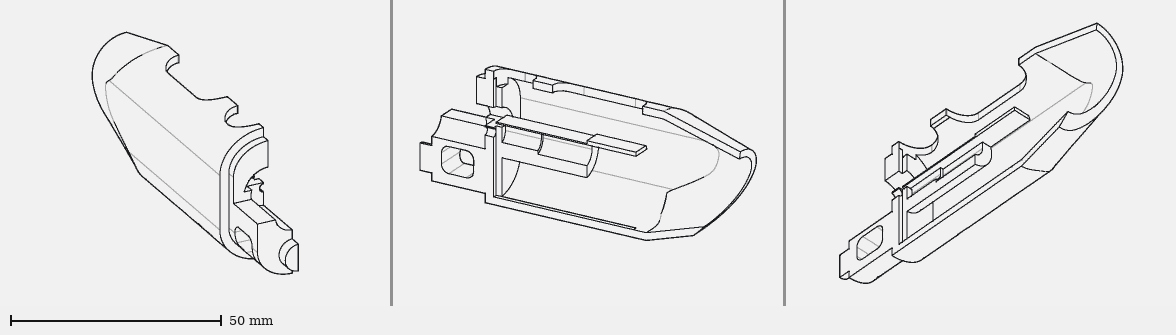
import cadquery as cq
import math

overall_length = 88.6
body_height = 34.45
body_depth = 11.7
body_edge = 10.0
body_end = 70.6
wall = 2.0

nose_end = 26.0
nose_front_bottom = 8.2
nose_front_top = 28.6
nose_front_depth = 10.1
nose_front_power = 2.0
nose_rear_top = 35.8
nose_rear_depth = 13.6
nose_rear_widest = 26.1
nose_rear_lower_power = 2.7
nose_rear_upper_power = 2.0
nose_steps = 16
mouth_middle = (3.7, 16.3)
mouth_lower = (13.0, 4.2)

opening_depth = 5.6
opening_corner = 5.3
opening_floor = 30.1
openings = ((27.0, 51.9), (57.4, 68.2))

end_wall_start = 66.6
flush_wall_start = 68.2
collar_inset = 2.4
collar_end = 73.0
tang_end = 85.4
tang_top = 17.5
groove_radius = 4.6
window_start = 73.8
window_end = 82.6
window_bottom = 5.3
window_top = 12.3
window_corner = 2.0
pin_radius = 3.5
pin_height = 8.0

axis_height = 18.5
hole_radius = 6.55
recess = 1.15
cradle_start = 29.6
cradle_step = 43.1
shelf_top = 21.6
shelf_bottom = 20.55
cradle_top = 20.9
bore_step = 56.7
cradle_wide_bore = 3.5
cradle_narrow_bore = 2.75
cable_bore = 1.1
sill_top = 19.9


def signed_power(value, exponent):
    """Power of the absolute value that keeps the sign."""
    return math.copysign(abs(value) ** exponent, value)


def nose_section(x, bottom, top, depth, widest, lower_power, upper_power):
    """Half superellipse on the -Y side of the split plane, deepest at the widest height."""
    points = []
    for step in range(1, nose_steps):
        angle = math.pi * (step / nose_steps - 0.5)
        above = angle > 0
        power = upper_power if above else lower_power
        half_height = top - widest if above else widest - bottom
        y = -depth * signed_power(math.cos(angle), 2 / power)
        z = widest + half_height * signed_power(math.sin(angle), 2 / power)
        points.append((y, z))
    outline = [(0, bottom)] + points + [(0, top)]
    parameters = [step / nose_steps for step in range(nose_steps + 1)]
    section = cq.Workplane("YZ", origin=(x, 0, 0))
    return section.spline(outline, parameters=parameters).close()


def nose_taper(inset=0.0):
    """Tapered hood of the nose, shrunk evenly by the inset."""
    front = nose_section(
        0,
        nose_front_bottom + inset,
        nose_front_top - inset,
        nose_front_depth - inset,
        axis_height,
        nose_front_power,
        nose_front_power,
    )
    rear = nose_section(
        nose_end,
        inset,
        nose_rear_top - inset,
        nose_rear_depth - inset,
        nose_rear_widest,
        nose_rear_lower_power,
        nose_rear_upper_power,
    )
    sections = [front.wires().val(), rear.wires().val()]
    return cq.Workplane(cq.Solid.makeLoft(sections, True))


def box(x_range, y_range, z_range):
    """Block between the given limits."""
    limits = (x_range, y_range, z_range)
    size = [high - low for low, high in limits]
    corner = [low for low, high in limits]
    return cq.Workplane().box(*size, centered=False).translate(tuple(corner))


def front_half(start, end, top):
    """Block that keeps only what lies in front of the split plane and below the given top."""
    return box((start, end), (-body_depth, 0), (0, top))


def body_prism(start, end, inset=0.0):
    """Body profile, flat between two elliptical edges, shrunk evenly by the inset."""
    depth = body_depth - inset
    edge_heights = (body_edge, body_height - body_edge)
    prism = box((start, end), (-depth, 0), edge_heights)
    for height in edge_heights:
        edge = cq.Workplane("YZ", origin=(start, 0, height)).ellipse(depth, body_edge - inset)
        prism = prism.union(edge.extrude(end - start))
    return prism.intersect(front_half(start, end, body_height))


def handle(end, inset=0.0):
    """Nose and body together, up to the given X."""
    trimming = front_half(0, nose_end, body_height).cut(nose_taper(inset))
    return body_prism(0, end, inset).cut(trimming)


def rod(start, end, radius, height=axis_height):
    """Full round bar along X, centred on the split plane."""
    return cq.Workplane("YZ", origin=(start, 0, height)).circle(radius).extrude(end - start)


def mouth_cutter():
    """Region ahead of and below the curved mouth of the nose."""
    return (
        cq.Workplane("XZ")
        .moveTo(0, nose_front_top)
        .threePointArc(mouth_middle, mouth_lower)
        .lineTo(mouth_lower[0], 0)
        .lineTo(-wall, 0)
        .lineTo(-wall, nose_front_top)
        .close()
        .extrude(body_depth)
    )


def opening_cutter(start, end):
    """Round-cornered notch that enters the top wall from the split plane."""
    notch = box((start, end), (-opening_depth, opening_depth), (opening_floor, body_height))
    return notch.edges("|Z and <Y").fillet(opening_corner)


def shell():
    """Hollow handle with its mouth and finger openings."""
    part = handle(body_end).cut(handle(end_wall_start, wall)).cut(mouth_cutter())
    for start, end in openings:
        part = part.cut(opening_cutter(start, end))
    return part


def hole_cutter():
    """Round passage through the end wall and collar, open above the sill."""
    passage = rod(end_wall_start, collar_end, hole_radius)
    above_sill = box((end_wall_start, collar_end), (-body_depth, body_depth), (sill_top, body_height))
    return passage.intersect(above_sill)


def tang():
    """Collar, grooved tang with a window, and the half-round end pin."""
    blade = body_prism(body_end, tang_end, collar_inset)
    above_tang = box((collar_end, tang_end), (-body_depth, 0), (tang_top, body_height))
    blade = blade.cut(above_tang).cut(rod(body_end, tang_end, groove_radius))
    window = box((window_start, window_end), (-body_depth, 0), (window_bottom, window_top))
    window = window.edges("|Y").fillet(window_corner)
    pin = rod(tang_end, overall_length, pin_radius, pin_height)
    pin = pin.intersect(front_half(tang_end, overall_length, body_height))
    return blade.cut(window).union(pin)


def cradle_slot(start, end, radius):
    """Slot with a round bottom on the bore line and straight sides up to the cradle roof."""
    sides = box((start, end), (-radius, 0), (axis_height, shelf_bottom))
    round_bottom = rod(start, end, radius).intersect(front_half(start, end, axis_height))
    return sides.union(round_bottom)


def cradle():
    """Half-round cradle with a stepped slot, and the flat shelf that reaches forward from it."""
    shelf = rod(cradle_start, cradle_step, hole_radius)
    shelf = shelf.intersect(
        box((cradle_start, cradle_step), (-body_depth, 0), (shelf_bottom, shelf_top))
    )
    block = rod(cradle_step, flush_wall_start, hole_radius)
    block = block.intersect(front_half(cradle_step, flush_wall_start, cradle_top))
    block = block.cut(cradle_slot(cradle_step, bore_step, cradle_wide_bore))
    block = block.cut(cradle_slot(bore_step, flush_wall_start, cradle_narrow_bore))
    return block.union(shelf)


inner_face_recess = box((cradle_start, flush_wall_start), (-recess, 0), (wall, body_height - wall))

result = shell().union(tang()).cut(hole_cutter()).union(cradle())
result = result.cut(inner_face_recess).cut(rod(flush_wall_start, collar_end, cable_bore))